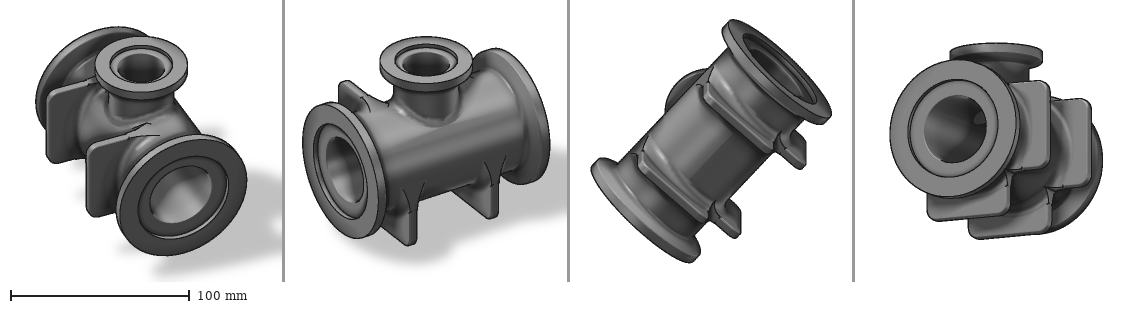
import cadquery as cq
import math

run_length = 114.3
run_radius = 58.6 / 2
run_bore_radius = 38.1 / 2
run_flange_radius = 78.0 / 2
run_recess_radius = 55.7 / 2
run_recess_depth = 3.0
run_lip_round = 0.5

branch_height = 54.1
branch_radius = 36.6 / 2
branch_bore_radius = 26.0 / 2
branch_flange_radius = 51.8 / 2
branch_recess_radius = 35.1 / 2
branch_recess_depth = 2.3
branch_lip_round = 0.8
branch_root_fillet = 6.4

rim_width = 5.5
cone_angle = math.radians(20)
rim_round = 0.9
neck_fillet = 2.6

rib_spacing = 54.4
rib_thickness = 5.0
rib_width = 50.0
rib_offset = 4.2
rib_reach = 45.3
rib_corner_radius = 6.4
rib_edge_round = 1.0
rib_root_fillet = 6.4


def level_band(radius, height):
    """Selector for edges around the Z axis that lie wholly at one height."""
    margin = 0.01
    low = (-radius - margin, -radius - margin, height - margin)
    high = (radius + margin, radius + margin, height + margin)
    return cq.selectors.BoxSelector(low, high, boundingbox=True)


def flanged_stub(pipe_radius, flange_radius, length):
    """Solid pipe along +Z from the origin, ending in a flange with a conical back."""
    rim_bottom = length - rim_width
    cone_bottom = rim_bottom - (flange_radius - pipe_radius) * math.tan(cone_angle)
    outline = [
        (0, 0),
        (pipe_radius, 0),
        (pipe_radius, cone_bottom),
        (flange_radius, rim_bottom),
        (flange_radius, length),
        (0, length),
    ]
    stub = cq.Workplane("XZ").polyline(outline).close().revolve(360, (0, 0), (0, 1))
    stub = stub.edges(level_band(flange_radius, rim_bottom)).fillet(rim_round)
    return stub.edges(level_band(flange_radius, cone_bottom)).fillet(neck_fillet)


def bore_cutter(bore_radius, lip_round, recess_radius, recess_depth, length):
    """Bore along +Z, opening over a rounded lip into the recess in the flange face."""
    recess_floor = length - recess_depth
    sag = lip_round * (1 - math.sqrt(0.5))
    return (
        cq.Workplane("XZ")
        .lineTo(bore_radius, 0)
        .lineTo(bore_radius, recess_floor - lip_round)
        .threePointArc((bore_radius + sag, recess_floor - sag), (bore_radius + lip_round, recess_floor))
        .lineTo(recess_radius, recess_floor)
        .lineTo(recess_radius, length)
        .lineTo(0, length)
        .close()
        .revolve(360, (0, 0), (0, 1))
    )


def along_run(half):
    """Turn a Z-axis half to point along +X and add its mirror image towards -X."""
    turned = half.rotate((0, 0, 0), (0, 1, 0), 90)
    return turned.union(turned.mirror("YZ"))


def rib_plate():
    """Plate reaching towards -Z, with rounded outer corners and softened edges."""
    plate = cq.Workplane("XY").box(rib_thickness, rib_width, rib_reach, (True, True, False))
    plate = plate.translate((0, 0, -rib_reach))
    plate = plate.edges("|X and <Z").fillet(rib_corner_radius)
    outer_edges = plate.faces("<X or >X").edges("not(>Z)")
    return outer_edges.fillet(rib_edge_round)


def rib_collar():
    """Concave collar around the run that blends the plate's faces into the tube."""
    root_half = rib_thickness / 2 + rib_root_fillet
    crest_half = rib_thickness / 2
    crest_radius = run_radius + rib_root_fillet
    sag = rib_root_fillet * (1 - math.sqrt(0.5))
    arc_radius = run_radius + sag
    arc_x = crest_half + sag
    return (
        cq.Workplane("XY")
        .moveTo(-root_half, 0)
        .lineTo(-root_half, run_radius)
        .threePointArc((-arc_x, arc_radius), (-crest_half, crest_radius))
        .lineTo(crest_half, crest_radius)
        .threePointArc((arc_x, arc_radius), (root_half, run_radius))
        .lineTo(root_half, 0)
        .close()
        .revolve(360, (0, 0), (1, 0))
    )


def rib(offset):
    """One plate with its blends, towards -Z and shifted along Y by the offset."""
    collar_width = rib_thickness + 2 * rib_root_fillet
    window = cq.Workplane("XY").box(collar_width, rib_width, rib_reach, (True, True, False))
    window = window.translate((0, offset, -rib_reach))
    return rib_plate().translate((0, offset, 0)).union(rib_collar().intersect(window))


run = along_run(flanged_stub(run_radius, run_flange_radius, run_length / 2))
branch = flanged_stub(branch_radius, branch_flange_radius, branch_height)
tee = run.union(branch)
root_margin = 0.6
root_span = branch_radius + root_margin
root = cq.selectors.BoxSelector(
    (-root_span, -root_span, 0),
    (root_span, root_span, run_radius + root_margin),
    boundingbox=True,
)
tee = tee.edges(root).fillet(branch_root_fillet)

rib_down = rib(rib_offset)
rib_front = rib(-rib_offset).rotate((0, 0, 0), (1, 0, 0), -90)
for x in (-rib_spacing / 2, rib_spacing / 2):
    tee = tee.union(rib_down.translate((x, 0, 0)))
    tee = tee.union(rib_front.translate((x, 0, 0)))

half_bore = bore_cutter(
    run_bore_radius, run_lip_round, run_recess_radius, run_recess_depth, run_length / 2
)
branch_bore = bore_cutter(
    branch_bore_radius, branch_lip_round, branch_recess_radius, branch_recess_depth, branch_height
)
result = tee.cut(along_run(half_bore)).cut(branch_bore)